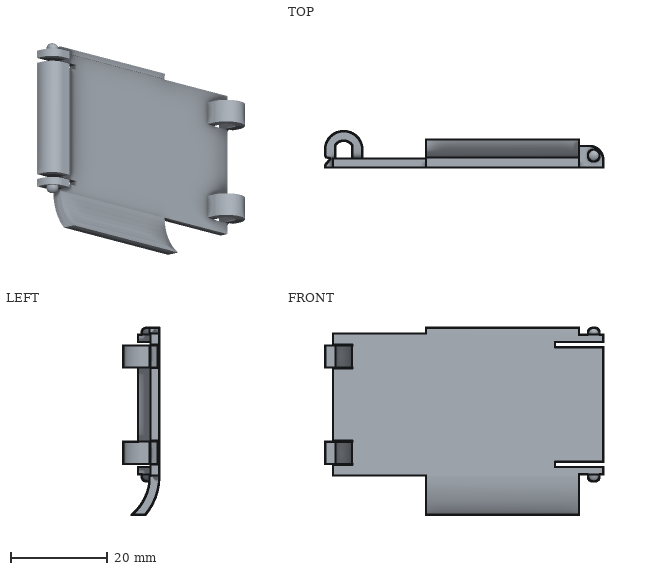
import cadquery as cq

LENGTH = 57.95
PLATE_LEFT = 1.6
PLATE_BOTTOM = 8.15
PLATE_TOP = 37.8
PLATE_THICKNESS = 1.9
PLATE_MIDDLE = (PLATE_BOTTOM + PLATE_TOP) / 2

TAB_LEFT = 21.0
TAB_RIGHT = 52.9
TAB_LENGTH = TAB_RIGHT - TAB_LEFT
TAB_THICKNESS = 2.0
TOTAL_HEIGHT = 39.0
BEND_HALF_HEIGHT = 14.9
LIP_BEND_START = PLATE_MIDDLE + BEND_HALF_HEIGHT
TAB_BEND_START = PLATE_MIDDLE - BEND_HALF_HEIGHT
TAB_OUTER_RADIUS = 12.5
TAB_INNER_RADIUS = TAB_OUTER_RADIUS - TAB_THICKNESS

END_DEPTH = 4.5
END_HALF_HEIGHT = 14.55
END_CORNER_RADIUS = 3.0
SLOT_LEFT = 47.85
SLOT_WIDTH = 1.05
ARM_HEIGHT = 1.55

PIN_X = 55.9
PIN_Y = 2.5
PIN_DIAMETER = 2.5
PIN_LENGTH = TOTAL_HEIGHT - PLATE_MIDDLE - END_HALF_HEIGHT
PIN_DOME_RADIUS = 1.1

HOOK_BOTTOMS = (10.6, 30.65)
HOOK_HEIGHT = 4.65
HOOK_WIDTH = 7.75
HOOK_DEPTH = 7.6
HOOK_WALL = 2.15
HOOK_ARC_START = 4.2
HOOK_INNER_ARC_START = 4.65
HOOK_INNER_DEPTH = 5.55
HOOK_NECK_X = 1.15
HOOK_HEEL = 0.45
HOOK_TIP_ARC_START = 2.8
HOOK_TIP_X = 0.25
HOOK_TIP_Y = 2.1
NOTCH_SPANS = ((10.5, 15.5), (30.55, 35.45))


def block(x_span, y_span, z_span):
    """Box between the given limits along each axis."""
    sizes = [high - low for low, high in (x_span, y_span, z_span)]
    corner = (x_span[0], y_span[0], z_span[0])
    return cq.Workplane("XY").box(*sizes, centered=False).translate(corner)


def make_plate():
    plate = block((PLATE_LEFT, TAB_RIGHT), (0, PLATE_THICKNESS), (PLATE_BOTTOM, PLATE_TOP))
    for bottom, top in NOTCH_SPANS:
        plate = plate.cut(block((0, HOOK_WIDTH - HOOK_WALL), (0, PLATE_THICKNESS), (bottom, top)))
    return plate


def make_end():
    return (
        block(
            (TAB_RIGHT, LENGTH),
            (0, END_DEPTH),
            (PLATE_MIDDLE - END_HALF_HEIGHT, PLATE_MIDDLE + END_HALF_HEIGHT),
        )
        .edges("|Z and >X and >Y")
        .fillet(END_CORNER_RADIUS)
    )


def make_slots():
    slot_offset = END_HALF_HEIGHT - ARM_HEIGHT - SLOT_WIDTH / 2
    slots = cq.Workplane("XY")
    for side in (-1, 1):
        centre = PLATE_MIDDLE + side * slot_offset
        z_span = (centre - SLOT_WIDTH / 2, centre + SLOT_WIDTH / 2)
        slots = slots.add(block((SLOT_LEFT, LENGTH), (0, END_DEPTH), z_span))
    return slots.combine()


def make_bend(start_z, z_span):
    """Strip curving back from the front face at start_z, kept within z_span."""
    ring = (
        cq.Workplane("YZ", origin=(TAB_LEFT, 0, 0))
        .center(TAB_OUTER_RADIUS, start_z)
        .circle(TAB_OUTER_RADIUS)
        .circle(TAB_INNER_RADIUS)
        .extrude(TAB_LENGTH)
    )
    return ring.intersect(block((TAB_LEFT, TAB_RIGHT), (0, TAB_OUTER_RADIUS), z_span))


def make_lip():
    bend = make_bend(LIP_BEND_START, (LIP_BEND_START, TOTAL_HEIGHT))
    root = block((TAB_LEFT, TAB_RIGHT), (0, PLATE_THICKNESS), (PLATE_TOP, LIP_BEND_START))
    return bend.union(root)


def make_tab():
    bend = make_bend(TAB_BEND_START, (0, TAB_BEND_START))
    root = block((TAB_LEFT, TAB_RIGHT), (0, PLATE_THICKNESS), (TAB_BEND_START, PLATE_BOTTOM))
    return bend.union(root)


def make_hook(bottom):
    middle = HOOK_WIDTH / 2
    inner_right = HOOK_WIDTH - HOOK_WALL
    tip_rise = HOOK_TIP_ARC_START - HOOK_TIP_Y
    tip_radius = (tip_rise**2 + HOOK_TIP_X**2) / (2 * HOOK_TIP_X)
    return (
        cq.Workplane("XY", origin=(0, 0, bottom))
        .moveTo(HOOK_WALL, 0)
        .lineTo(0, 0)
        .lineTo(0, HOOK_HEEL)
        .lineTo(HOOK_NECK_X, PLATE_THICKNESS)
        .lineTo(HOOK_TIP_X, HOOK_TIP_Y)
        .radiusArc((0, HOOK_TIP_ARC_START), tip_radius)
        .lineTo(0, HOOK_ARC_START)
        .threePointArc((middle, HOOK_DEPTH), (HOOK_WIDTH, HOOK_ARC_START))
        .lineTo(HOOK_WIDTH, PLATE_THICKNESS)
        .lineTo(inner_right, PLATE_THICKNESS)
        .lineTo(inner_right, HOOK_INNER_ARC_START)
        .threePointArc((middle, HOOK_INNER_DEPTH), (HOOK_WALL, HOOK_INNER_ARC_START))
        .close()
        .extrude(HOOK_HEIGHT)
    )


def make_upper_pin():
    return (
        cq.Workplane("XY", origin=(PIN_X, PIN_Y, PLATE_MIDDLE + END_HALF_HEIGHT))
        .circle(PIN_DIAMETER / 2)
        .extrude(PIN_LENGTH)
        .faces(">Z")
        .edges()
        .fillet(PIN_DOME_RADIUS)
    )


upper_pin = make_upper_pin()
lower_pin = upper_pin.mirror("XY", (0, 0, PLATE_MIDDLE))

result = make_plate().union(make_end()).cut(make_slots())
result = result.union(make_lip()).union(make_tab())
result = result.union(upper_pin).union(lower_pin)
for hook_bottom in HOOK_BOTTOMS:
    result = result.union(make_hook(hook_bottom))